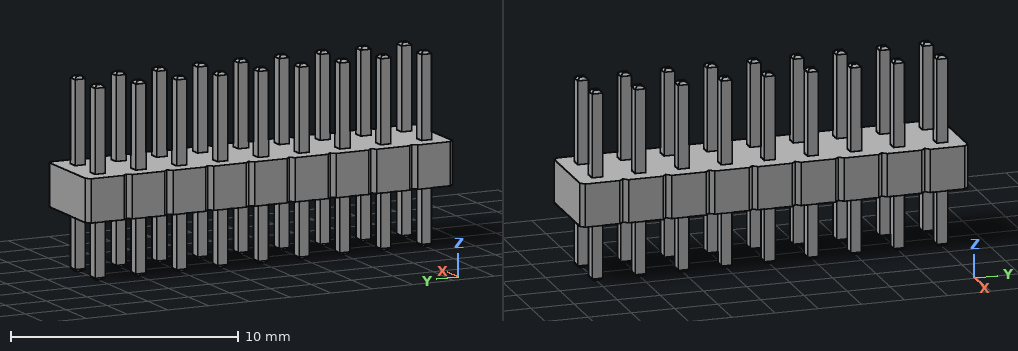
import cadquery as cq

ROWS = 9
COLUMNS = 2
LENGTH = 18.0
PITCH = LENGTH / ROWS
WIDTH = COLUMNS * PITCH

BODY_HEIGHT = PITCH
CORNER_BEVEL = PITCH / 10

PIN_WIDTH = PITCH / 4
PIN_ABOVE = 2 * PITCH
PIN_BELOW = 2.8
TIP_BEVEL = PIN_WIDTH / 4


def make_body_row(y):
    """The length of body around one row of pins, its four vertical edges bevelled."""
    row = cq.Workplane("XY").box(WIDTH, PITCH, BODY_HEIGHT, centered=(True, True, False))
    return row.edges("|Z").chamfer(CORNER_BEVEL).translate((0, y, 0))


def make_pin(x, y):
    """One square pin through the body, bevelled to a blunt tip at both ends."""
    pin_length = PIN_BELOW + BODY_HEIGHT + PIN_ABOVE
    pin = cq.Workplane("XY").box(PIN_WIDTH, PIN_WIDTH, pin_length, centered=(True, True, False))
    return pin.faces("<Z or >Z").chamfer(TIP_BEVEL).translate((x, y, -PIN_BELOW))


def centered_positions(count):
    """Positions one pitch apart, spread evenly about zero."""
    return [(i - (count - 1) / 2) * PITCH for i in range(count)]


row_positions = centered_positions(ROWS)
result = make_body_row(row_positions[0])
for row_y in row_positions[1:]:
    result = result.union(make_body_row(row_y))
result = result.clean()

for row_y in row_positions:
    for column_x in centered_positions(COLUMNS):
        result = result.union(make_pin(column_x, row_y))